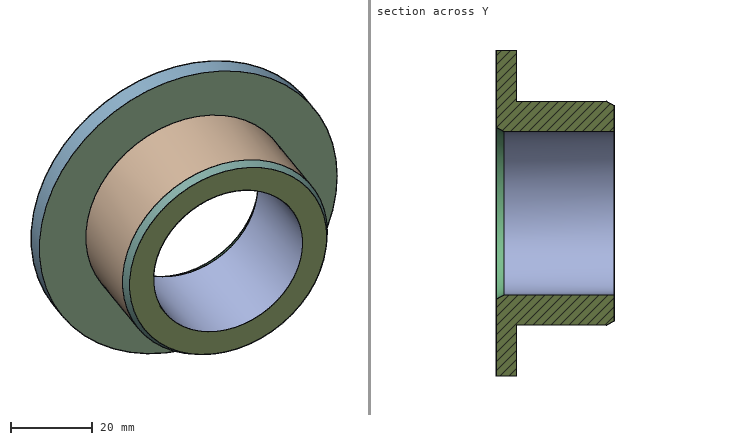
import cadquery as cq

flange_diameter = 80.0
flange_thickness = 5.0
barrel_diameter = 55.0
total_length = 29.0
bore_diameter = 40.0

lead_in_length = 1.9
lead_in_depth = 1.0

bore_chamfer_length = 1.9
bore_chamfer_depth = 1.0

flange_radius = flange_diameter / 2
barrel_radius = barrel_diameter / 2
bore_radius = bore_diameter / 2

half_section = (
    cq.Workplane("XY")
    .moveTo(0, bore_radius + bore_chamfer_depth)
    .lineTo(0, flange_radius)
    .lineTo(flange_thickness, flange_radius)
    .lineTo(flange_thickness, barrel_radius)
    .lineTo(total_length - lead_in_length, barrel_radius)
    .lineTo(total_length, barrel_radius - lead_in_depth)
    .lineTo(total_length, bore_radius)
    .lineTo(bore_chamfer_length, bore_radius)
    .close()
)

result = half_section.revolve(360, (0, 0, 0), (1, 0, 0))